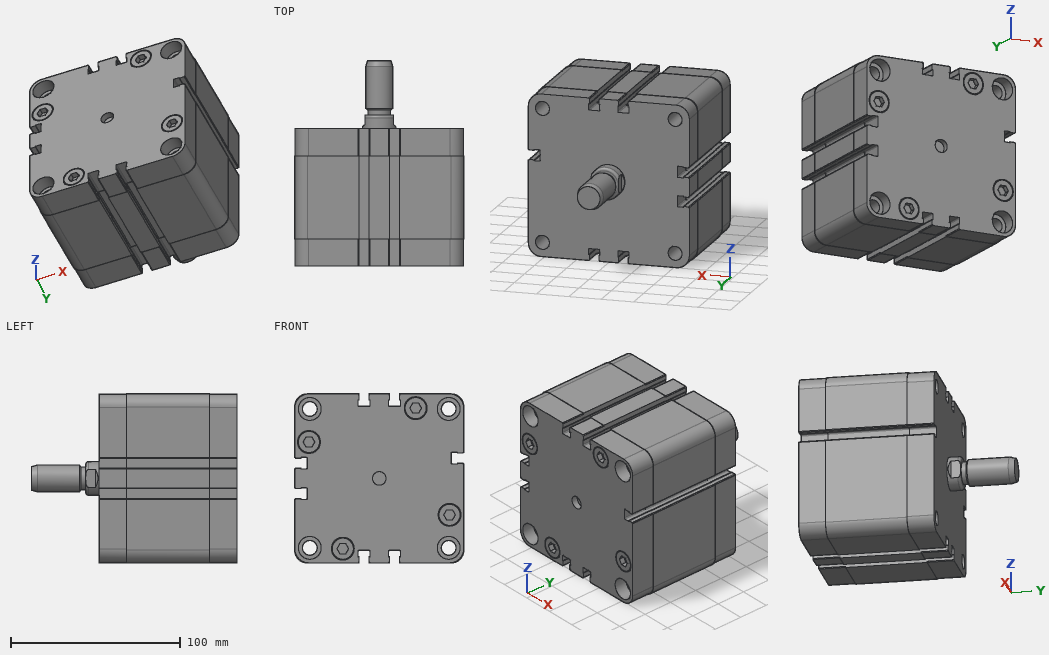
import cadquery as cq
import math


BARREL_SIDE = 100.0
BARREL_CORNER_RADIUS = 7.75
BARREL_LENGTH = 49.0
CAP_INSET = 0.2
CAP_SIDE = BARREL_SIDE - 2 * CAP_INSET
CAP_CORNER_RADIUS = 8.0
CAP_LENGTH = 16.2
HOUSING_LENGTH = BARREL_LENGTH + 2 * CAP_LENGTH

SLOT_MOUTH_WIDTH = 5.8
SLOT_CAVITY_WIDTH = 6.8
SLOT_LIP_DEPTH = 3.65
BARREL_SLOT_DEPTH = 7.3
CAP_SLOT_DEPTH = 7.4
SLOT_ROUNDING = 0.5
SLOT_PAIR_OFFSET = 9.0
SINGLE_SLOT_OFFSET = 12.0
TOP_AND_BOTTOM_SLOTS = [
    (0, -SLOT_PAIR_OFFSET),
    (0, SLOT_PAIR_OFFSET),
    (180, -SLOT_PAIR_OFFSET),
    (180, SLOT_PAIR_OFFSET),
]
LEFT_AND_RIGHT_SLOTS = [
    (-90, -SLOT_PAIR_OFFSET),
    (-90, SLOT_PAIR_OFFSET),
    (90, -SINGLE_SLOT_OFFSET),
]

MOUNT_HOLE_SPACING = 82.0
MOUNT_HOLE_DIAMETER = 8.57
MOUNT_BORE_DIAMETER = 13.5
MOUNT_BORE_DEPTH = 8.5

SCREW_NEAR = 21.5
SCREW_FAR = 41.5
SCREW_BORE_DIAMETER = 13.5
SCREW_HEAD_DIAMETER = 12.5
SCREW_HEAD_LENGTH = 8.0
SCREW_HEX_FLATS = 6.0
SCREW_HEX_DEPTH = 3.5

CENTRE_HOLE_DIAMETER = 8.0
CENTRE_HOLE_DEPTH = 4.0

ROD_LENGTH = 40.0
COLLAR_DIAMETER = 20.0
COLLAR_LENGTH = 8.0
COLLAR_ROUNDING = 1.75
FLATS_WIDTH = 17.0
FLATS_START = 2.25
NECK_DIAMETER = 13.5
NECK_END = 10.75
THREAD_DIAMETER = 16.0
THREAD_START_CHAMFER = 1.0
THREAD_TIP_DIAMETER = 14.0
THREAD_TIP_LENGTH = 3.5


def front_plane(y):
    """Workplane parallel to XZ at the given Y; extrusion goes toward +Y, local x is X, local y is -Z."""
    return cq.Workplane(cq.Plane(origin=(0, y, 0), xDir=(1, 0, 0), normal=(0, 1, 0)))


def hole_at(x, z, diameter, depth):
    """Cylinder that starts at the front face."""
    return front_plane(0).center(x, -z).circle(diameter / 2).extrude(depth)


def sharp_slot(side, start, length, depth):
    """Undercut slot entering from the top of a square section, centred on X = 0."""
    top = side / 2
    mouth = front_plane(start).center(0, -(top - SLOT_LIP_DEPTH / 2))
    mouth = mouth.rect(SLOT_MOUTH_WIDTH, SLOT_LIP_DEPTH).extrude(length)
    cavity_height = depth - SLOT_LIP_DEPTH
    cavity = front_plane(start).center(0, -(top - depth + cavity_height / 2))
    cavity = cavity.rect(SLOT_CAVITY_WIDTH, cavity_height).extrude(length)
    return mouth.union(cavity)


def rounded_slot(side, start, length, depth):
    """Undercut slot with rounded floor corners and rounded lips at its mouth."""
    top = side / 2
    wall = SLOT_MOUTH_WIDTH / 2
    cutter = sharp_slot(side, start, length, depth).edges("|Y and <Z").fillet(SLOT_ROUNDING)
    for direction in (-1, 1):
        flare = (
            front_plane(start)
            .moveTo(direction * wall, -(top - SLOT_ROUNDING))
            .radiusArc((direction * (wall + SLOT_ROUNDING), -top), direction * SLOT_ROUNDING)
            .lineTo(direction * wall, -top)
            .close()
            .extrude(length)
        )
        cutter = cutter.union(flare)
    return cutter


def cut_slots(section, cutter, places):
    for angle, offset in places:
        section = section.cut(cutter.translate((offset, 0, 0)).rotate((0, 0, 0), (0, 1, 0), angle))
    return section


def rounded_square(side, corner_radius, start, length):
    return front_plane(start).rect(side, side).extrude(length).edges("|Y").fillet(corner_radius)


def barrel():
    """Middle section; its top and bottom slots have sharp edges, the side slots rounded ones."""
    section = rounded_square(BARREL_SIDE, BARREL_CORNER_RADIUS, CAP_LENGTH, BARREL_LENGTH)
    size = (BARREL_SIDE, CAP_LENGTH, BARREL_LENGTH, BARREL_SLOT_DEPTH)
    section = cut_slots(section, sharp_slot(*size), TOP_AND_BOTTOM_SLOTS)
    return cut_slots(section, rounded_slot(*size), LEFT_AND_RIGHT_SLOTS)


def end_cap(start):
    section = rounded_square(CAP_SIDE, CAP_CORNER_RADIUS, start, CAP_LENGTH)
    cutter = rounded_slot(CAP_SIDE, start, CAP_LENGTH, CAP_SLOT_DEPTH)
    return cut_slots(section, cutter, TOP_AND_BOTTOM_SLOTS + LEFT_AND_RIGHT_SLOTS)


def housing():
    return barrel().union(end_cap(0)).union(end_cap(CAP_LENGTH + BARREL_LENGTH))


def cut_mounting_holes(body):
    offset = MOUNT_HOLE_SPACING / 2
    for x in (-offset, offset):
        for z in (-offset, offset):
            body = body.cut(hole_at(x, z, MOUNT_HOLE_DIAMETER, HOUSING_LENGTH))
            body = body.cut(hole_at(x, z, MOUNT_BORE_DIAMETER, MOUNT_BORE_DEPTH))
    return body


def cut_screws(body):
    """Each screw head shows as an annular gap around it and a hexagon socket."""
    across_corners = SCREW_HEX_FLATS / math.cos(math.pi / 6)
    places = [
        (SCREW_NEAR, SCREW_FAR),
        (SCREW_FAR, -SCREW_NEAR),
        (-SCREW_NEAR, -SCREW_FAR),
        (-SCREW_FAR, SCREW_NEAR),
    ]
    for x, z in places:
        gap = hole_at(x, z, SCREW_BORE_DIAMETER, SCREW_HEAD_LENGTH)
        gap = gap.cut(hole_at(x, z, SCREW_HEAD_DIAMETER, SCREW_HEAD_LENGTH))
        socket = front_plane(0).center(x, -z).polygon(6, across_corners).extrude(SCREW_HEX_DEPTH)
        body = body.cut(gap).cut(socket)
    return body


def piston_rod():
    """Collar, neck and threaded end as one turned profile, with two wrench flats on the collar."""
    collar = COLLAR_DIAMETER / 2
    neck = NECK_DIAMETER / 2
    thread = THREAD_DIAMETER / 2
    rod = (
        cq.Workplane("XY")
        .lineTo(collar, 0)
        .lineTo(collar, COLLAR_LENGTH - COLLAR_ROUNDING)
        .radiusArc((collar - COLLAR_ROUNDING, COLLAR_LENGTH), -COLLAR_ROUNDING)
        .lineTo(neck, COLLAR_LENGTH)
        .lineTo(neck, NECK_END)
        .lineTo(thread, NECK_END + THREAD_START_CHAMFER)
        .lineTo(thread, ROD_LENGTH - THREAD_TIP_LENGTH)
        .lineTo(THREAD_TIP_DIAMETER / 2, ROD_LENGTH)
        .lineTo(0, ROD_LENGTH)
        .close()
        .revolve(360, (0, 0, 0), (0, 1, 0))
    )
    flat = FLATS_WIDTH / 2
    for direction in (-1, 1):
        cutter = (
            cq.Workplane("XY")
            .moveTo(direction * flat, COLLAR_LENGTH)
            .lineTo(direction * flat, FLATS_START)
            .lineTo(direction * (flat + FLATS_START), 0)
            .lineTo(direction * (flat + FLATS_START), COLLAR_LENGTH)
            .close()
            .extrude(COLLAR_DIAMETER / 2, both=True)
        )
        rod = rod.cut(cutter)
    return rod.translate((0, HOUSING_LENGTH, 0))


cylinder = cut_screws(cut_mounting_holes(housing()))
cylinder = cylinder.cut(hole_at(0, 0, CENTRE_HOLE_DIAMETER, CENTRE_HOLE_DEPTH))
result = cylinder.union(piston_rod())